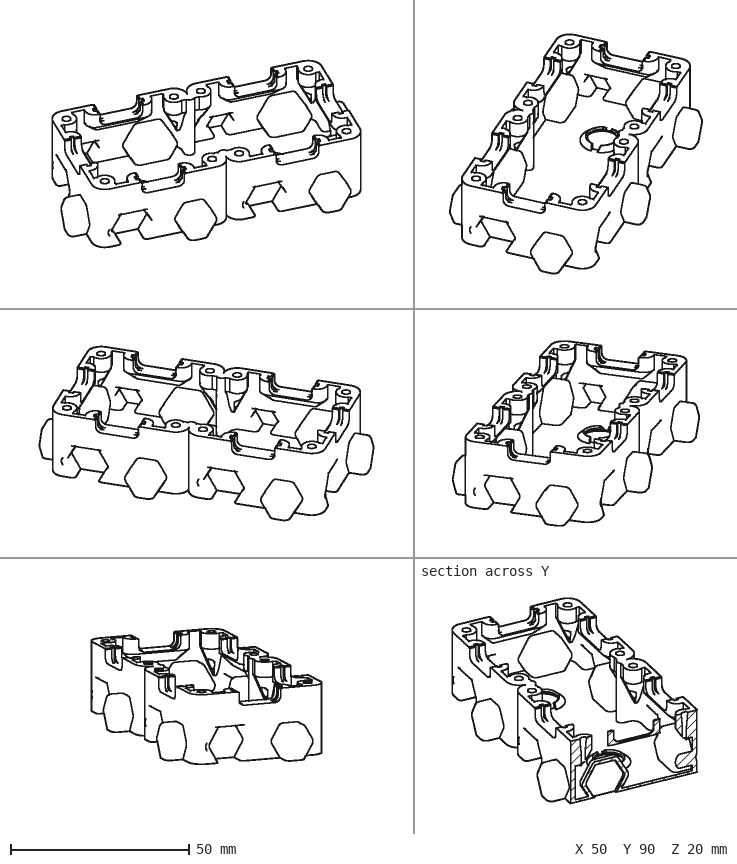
import cadquery as cq
import math


TILE = 40.0
HALF = TILE / 2
HEIGHT = 20.0
WALL = 1.6
FLOOR = 1.0
CORNER_RADIUS = 4.0
TILE_CENTRES = (HALF, -HALF)
SCREW = HALF - CORNER_RADIUS
INNER_CORNER_RADIUS = CORNER_RADIUS - WALL
WAIST_END = 14.5

POST_RADIUS = 2.85
POST_WEB_REACH = 2.5
POST_WEB_BACK = 1.0
POST_WEB_END = 3.0
RIM_DEPTH = 4.4
POST_TIP_Z = 7.0
CONE_TIP_RADIUS = 0.3
WEB_TIP_SIZE = 1.25
WEB_TIP_CENTRE = 1.95
HOLE_TOP_DIAMETER = 2.4
HOLE_DIAMETER = 1.8

LEDGE_DEPTH = 5.0
LEDGE_HALF_LENGTH = 9.85
LEDGE_CORNER_RADIUS = 2.8
LEDGE_ROOT_RADIUS = 0.4
NOTCH_DEPTH = 4.0
NOTCH_HALF_WIDTH = 6.3
NOTCH_FILLET = 1.8
NOTCH_LEAD_WIDTH = 0.4
NOTCH_LEAD_HEIGHT = 0.25
GROOVE_WIDTH = 1.15
GROOVE_HALF_WIDTH = 7.1
GROOVE_FILLET = 0.8

CONNECTOR_OFFSET = 9.0
CONNECTOR_Z = 4.95
PLUG_LENGTH = 5.0
PLUG_APOTHEM = 5.0
CLEARANCE = 0.4
SOCKET_EXTRA_DEPTH = 0.5
CONNECTOR_WALL = 1.5
HOUSING_WALL = 1.2
CONNECTOR_FILLET = 1.5
SOCKET_MOUTH_FILLET = 1.0
PLUG_CAVITY_FILLET = 0.2
PLUG_MOUTH_FILLET = 1.2
RIM_TOLERANCE = 0.1
SOCKET_APOTHEM = PLUG_APOTHEM + CLEARANCE
HOUSING_APOTHEM = SOCKET_APOTHEM + HOUSING_WALL
SOCKET_DEPTH = PLUG_LENGTH + SOCKET_EXTRA_DEPTH

CLIP_BASE_RADIUS = 6.15
CLIP_TOP_RADIUS = 4.55
CLIP_LIP_RADIUS = 4.05
MAGNET_RADIUS = 5.0
CLIP_HEIGHT = 1.4
CLIP_LIP_DROP = 0.5
MAGNET_RECESS = 0.4
CLIP_GAP_BASE = 1.9
CLIP_GAP_TOP = 2.8


def box(x_min, x_max, y_min, y_max, z_min, z_max):
    size = (x_max - x_min, y_max - y_min, z_max - z_min)
    return cq.Workplane("XY").box(*size, centered=False).translate((x_min, y_min, z_min))


def rounded_tile(centre_y, size, radius, z_min, z_max):
    block = cq.Workplane("XY").box(size, size, z_max - z_min, centered=(True, True, False))
    return block.edges("|Z").fillet(radius).translate((0, centre_y, z_min))


def shell():
    outside = None
    cavity = box(-WAIST_END, WAIST_END, -WALL, WALL, FLOOR, HEIGHT)
    for centre_y in TILE_CENTRES:
        tile = rounded_tile(centre_y, TILE, CORNER_RADIUS, 0, HEIGHT)
        outside = tile if outside is None else outside.union(tile)
        inside = rounded_tile(centre_y, TILE - 2 * WALL, INNER_CORNER_RADIUS, FLOOR, HEIGHT)
        cavity = cavity.union(inside)
    outside = outside.union(box(-SCREW, SCREW, -WALL, WALL, 0, HEIGHT))
    ends = cq.Workplane("XY").pushPoints([(-WAIST_END, 0), (WAIST_END, 0)]).circle(WALL).extrude(HEIGHT)
    return outside.cut(cavity).union(ends)


def screw_post(sign_x, sign_y, centre_y):
    """Post with a straight head that tapers back into the wall corner below it."""
    head_z = HEIGHT - RIM_DEPTH
    taper = head_z - POST_TIP_Z
    cone_shift = INNER_CORNER_RADIUS / math.sqrt(2)
    base = cq.Workplane("XY", origin=(0, 0, head_z))
    post = base.circle(POST_RADIUS).extrude(RIM_DEPTH)
    cone = base.circle(POST_RADIUS).workplane(offset=-taper).center(cone_shift, cone_shift)
    post = post.union(cone.circle(CONE_TIP_RADIUS).loft())

    across = POST_WEB_REACH + POST_WEB_BACK
    across_centre = POST_WEB_BACK - across / 2
    along_centre = POST_WEB_END / 2
    webs = [(across, POST_WEB_END, across_centre, along_centre),
            (POST_WEB_END, across, along_centre, across_centre)]
    for size_x, size_y, x, y in webs:
        web = base.center(x, y).rect(size_x, size_y)
        post = post.union(web.extrude(RIM_DEPTH))
        tip = base.center(x, y).rect(size_x, size_y).workplane(offset=-taper)
        tip = tip.center(WEB_TIP_CENTRE - x, WEB_TIP_CENTRE - y)
        post = post.union(tip.rect(WEB_TIP_SIZE, WEB_TIP_SIZE).loft())
    if sign_x < 0:
        post = post.mirror("YZ")
    if sign_y < 0:
        post = post.mirror("XZ")
    return post.translate((sign_x * SCREW, centre_y + sign_y * SCREW, 0))


def screw_hole(x, y):
    """Hole that narrows through the straight head, then runs on at the screw size."""
    top = cq.Workplane("XY", origin=(x, y, HEIGHT)).circle(HOLE_TOP_DIAMETER / 2)
    lead_in = top.workplane(offset=-RIM_DEPTH).circle(HOLE_DIAMETER / 2).loft()
    bore = cq.Workplane("XY", origin=(x, y, FLOOR)).circle(HOLE_DIAMETER / 2)
    return lead_in.union(bore.extrude(HEIGHT - RIM_DEPTH - FLOOR))



def ledge():
    """Rim thickening whose underside slopes back to the wall at 45 degrees on every side."""
    slope = LEDGE_DEPTH - WALL
    depth = 2 * LEDGE_DEPTH
    length = 2 * LEDGE_HALF_LENGTH
    plan = cq.Sketch().rect(depth, length).vertices().fillet(LEDGE_CORNER_RADIUS)
    root = cq.Sketch().rect(depth - 2 * slope, length - 2 * slope).vertices().fillet(LEDGE_ROOT_RADIUS)
    base = cq.Workplane("XY", origin=(-HALF, 0, HEIGHT - RIM_DEPTH))
    head = base.placeSketch(plan).extrude(RIM_DEPTH)
    underside = base.placeSketch(plan, root.moved(cq.Location(cq.Vector(0, 0, -slope)))).loft()
    return head.union(underside).intersect(box(-HALF, 0, -HALF, HALF, 0, HEIGHT))


def notch_cutter(half_width, fillet, x_min, x_max):
    bottom = HEIGHT - NOTCH_DEPTH
    lead_z = HEIGHT - NOTCH_LEAD_HEIGHT
    top = half_width + NOTCH_LEAD_WIDTH
    section = [(-half_width, bottom), (half_width, bottom), (half_width, lead_z),
               (top, HEIGHT), (-top, HEIGHT), (-half_width, lead_z)]
    cutter = cq.Workplane("YZ", origin=(x_min, 0, 0)).polyline(section).close().extrude(x_max - x_min)
    return cutter.edges("|X and <Z").fillet(fillet)


def notch():
    opening = notch_cutter(NOTCH_HALF_WIDTH, NOTCH_FILLET, -HALF, LEDGE_DEPTH - HALF)
    groove_x = (LEDGE_DEPTH - GROOVE_WIDTH) / 2 - HALF
    groove = notch_cutter(GROOVE_HALF_WIDTH, GROOVE_FILLET, groove_x, groove_x + GROOVE_WIDTH)
    return opening.union(groove)


def hex_prism(apothem, x_min, x_max, centre_y):
    """Hexagonal prism along X; its lower flanks run on to a point below the base."""
    radius = apothem * 2 / math.sqrt(3)
    outline = [(radius / 2, apothem), (radius, 0), (0, -radius * math.sqrt(3)),
               (-radius, 0), (-radius / 2, apothem)]
    plane = cq.Workplane("YZ", origin=(x_min, centre_y, CONNECTOR_Z))
    prism = plane.polyline(outline).close().extrude(x_max - x_min)
    return prism.edges("|X").fillet(CONNECTOR_FILLET)


def above_base(solid):
    return solid.intersect(box(-TILE, TILE, -TILE, TILE, 0, HEIGHT))


def plug():
    body = hex_prism(PLUG_APOTHEM, -HALF - PLUG_LENGTH, WALL - HALF, -CONNECTOR_OFFSET)
    return above_base(body.faces("<X").edges().fillet(CONNECTOR_FILLET))


def socket_housing():
    inner_end = SOCKET_DEPTH + CONNECTOR_WALL - HALF
    body = hex_prism(HOUSING_APOTHEM, -HALF, inner_end, CONNECTOR_OFFSET)
    return above_base(body.faces(">X").edges().fillet(CONNECTOR_FILLET))


def flared_cavity(apothem, mouth_x, depth, centre_y, bottom_z, edge_fillet, mouth_fillet):
    """Hexagonal cavity along +X from mouth_x, its slanted flanks rounded over at the mouth."""
    radius = apothem * 2 / math.sqrt(3)
    tip = radius * math.sqrt(3)
    plane = cq.Workplane("YZ", origin=(mouth_x, centre_y, CONNECTOR_Z))
    bore = plane.polyline([(radius, 0), (0, tip), (-radius, 0), (0, -tip)]).close().extrude(depth)
    bore = bore.edges("|X").fillet(edge_fillet)
    mouth = plane.rect(2 * TILE, 2 * TILE).extrude(-CONNECTOR_WALL)
    rim = cq.selectors.BoxSelector(
        (mouth_x - RIM_TOLERANCE, centre_y - HALF, CONNECTOR_Z - HALF),
        (mouth_x + RIM_TOLERANCE, centre_y + HALF, CONNECTOR_Z + HALF),
    )
    flared = mouth.union(bore).edges(rim).fillet(mouth_fillet)
    limits = box(mouth_x, mouth_x + depth, -TILE, TILE, bottom_z, CONNECTOR_Z + apothem)
    return flared.intersect(limits)


def socket_cavity():
    return flared_cavity(SOCKET_APOTHEM, -HALF, SOCKET_DEPTH, CONNECTOR_OFFSET, 0,
                         CONNECTOR_FILLET, SOCKET_MOUTH_FILLET)


def plug_cavity():
    depth = PLUG_LENGTH + WALL - CONNECTOR_WALL
    apothem = PLUG_APOTHEM - CONNECTOR_WALL
    cavity = flared_cavity(apothem, HALF - WALL, depth, CONNECTOR_OFFSET, FLOOR,
                           PLUG_CAVITY_FILLET, PLUG_MOUTH_FILLET)
    return cavity.rotate((0, 0, 0), (0, 0, 1), 180)


def magnet_clip():
    top = FLOOR + CLIP_HEIGHT
    lip_z = top - CLIP_LIP_DROP
    section = [(MAGNET_RADIUS, 0), (CLIP_BASE_RADIUS, 0), (CLIP_BASE_RADIUS, FLOOR),
               (CLIP_TOP_RADIUS, top), (CLIP_LIP_RADIUS, lip_z), (MAGNET_RADIUS, FLOOR)]
    ring = cq.Workplane("XZ").polyline(section).close().revolve(360, (0, 0, 0), (0, 1, 0))
    gap = cq.Workplane("XY", origin=(0, 0, FLOOR)).rect(CLIP_GAP_BASE, TILE)
    return ring.cut(gap.workplane(offset=CLIP_HEIGHT).rect(CLIP_GAP_TOP, TILE).loft())


def magnet_recess():
    return cq.Workplane("XY", origin=(0, 0, FLOOR)).circle(MAGNET_RADIUS).extrude(-MAGNET_RECESS)


def on_free_sides(feature):
    """Copies of a side feature on every tile side except the two that meet."""
    copies = []
    for centre_y in TILE_CENTRES:
        end_turn = math.copysign(90, -centre_y)
        for turn in (0, 180, end_turn):
            turned = feature.rotate((0, 0, 0), (0, 0, 1), turn)
            copies.append(turned.translate((0, centre_y, 0)))
    return copies


def add_all(body, features):
    for feature in features:
        body = body.union(feature, clean=False)
    return body.clean()


def cut_all(body, features):
    for feature in features:
        body = body.cut(feature, clean=False)
    return body.clean()


def build():
    posts = []
    holes = []
    recesses = []
    clips = []
    for centre_y in TILE_CENTRES:
        recesses.append(magnet_recess().translate((0, centre_y, 0)))
        clips.append(magnet_clip().translate((0, centre_y, 0)))
        for sign_x in (-1, 1):
            for sign_y in (-1, 1):
                posts.append(screw_post(sign_x, sign_y, centre_y))
                holes.append(screw_hole(sign_x * SCREW, centre_y + sign_y * SCREW))

    body = add_all(shell(), on_free_sides(ledge()) + posts)
    body = cut_all(body, holes + on_free_sides(notch()))
    body = add_all(body, on_free_sides(plug()) + on_free_sides(socket_housing()))
    cavities = on_free_sides(plug_cavity()) + on_free_sides(socket_cavity())
    body = cut_all(body, cavities + recesses)
    return add_all(body, clips)


result = build()